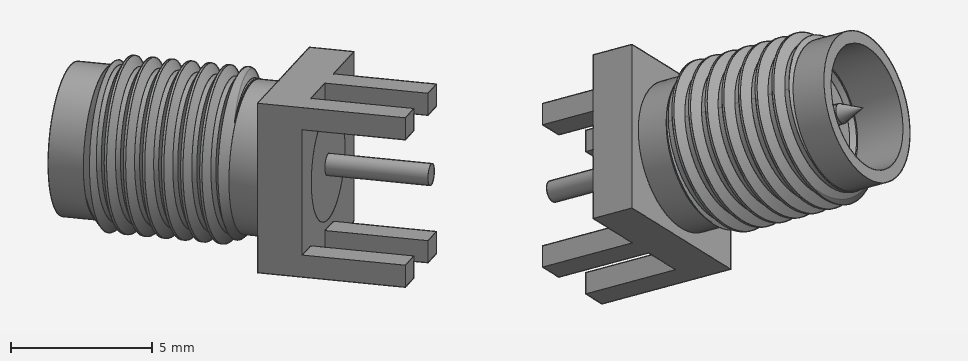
import cadquery as cq
import math

barrel_length = 7.87
flange_thickness = 1.65
leg_length = 3.81
flange_back = barrel_length + flange_thickness
overall_length = flange_back + leg_length

flange_size = 6.35
leg_height = 0.83
leg_width = 1.05
inner_leg_center_y = 0.125
outer_leg_center_y = -(flange_size - leg_width) / 2

barrel_radius = 2.77
socket_radius = 2.31
socket_depth = 1.92
countersink_radius = 2.235
insulator_radius = 2.06
insulator_front = socket_depth + countersink_radius - insulator_radius

thread_major_radius = 3.175
thread_pitch = 25.4 / 36
thread_start = 1.31
thread_end = 6.69
thread_root_radius = 2.80
crest_flat = thread_pitch / 8
flank_slope = math.tan(math.radians(30))
crest_x = 1.90
root_overlap = 0.05
trim_margin = 0.3
trim_length = 4 * thread_pitch

pin_radius = 0.395
pin_neck_radius = 0.37
pin_tip_x = 0.18
pin_cone_length = 0.90
pin_neck_length = 0.25


def cylinder_along_x(start, end, radius):
    return cq.Workplane("YZ", origin=(start, 0, 0)).circle(radius).extrude(end - start)


def revolve_about_x(points):
    outline = cq.Workplane("XY").polyline(points).close()
    return outline.revolve(360, (0, 0, 0), (1, 0, 0))


def make_thread_ridge():
    """Helical V ridge that runs past both ends of the thread."""
    inner_radius = thread_root_radius - root_overlap
    crest_half = crest_flat / 2
    base_half = crest_half + (thread_major_radius - inner_radius) * flank_slope

    turns_before = math.ceil((crest_x - thread_start) / thread_pitch) + 1
    start = crest_x - turns_before * thread_pitch
    turns = math.ceil((thread_end - start) / thread_pitch) + 1
    helix = cq.Wire.makeHelix(thread_pitch, turns * thread_pitch, inner_radius)
    profile = cq.Workplane("XZ").polyline([
        (inner_radius, -base_half),
        (thread_major_radius, -crest_half),
        (thread_major_radius, crest_half),
        (inner_radius, base_half),
    ]).close()
    ridge = profile.sweep(cq.Workplane(obj=helix), isFrenet=True)
    return ridge.rotate((0, 0, 0), (1, 1, 1), 120).translate((start, 0, 0))


def make_end_trim(end, outward):
    """Cutter that removes all beyond one end of the thread and leaves a 45 degree cone."""
    rim_radius = thread_major_radius + trim_margin
    rim_x = end - outward * (rim_radius - barrel_radius)
    far_x = end + outward * trim_length
    return revolve_about_x([
        (end, 0),
        (end, barrel_radius),
        (rim_x, rim_radius),
        (far_x, rim_radius),
        (far_x, 0),
    ])


def make_thread():
    """Root cylinder with its ridge, both made too long and then trimmed at the two ends."""
    root_start = thread_start - trim_length + trim_margin
    root_end = thread_end + trim_length - trim_margin
    thread = cylinder_along_x(root_start, root_end, thread_root_radius).union(make_thread_ridge())
    return thread.cut(make_end_trim(thread_start, -1)).cut(make_end_trim(thread_end, 1))


def make_leg(center_y, side):
    center_z = side * (flange_size - leg_height) / 2
    return cq.Workplane("XY").box(leg_length, leg_width, leg_height).translate(
        (flange_back + leg_length / 2, center_y, center_z)
    )


def make_housing():
    body = cylinder_along_x(0, barrel_length, barrel_radius)
    body = body.union(make_thread())
    flange = cq.Workplane("YZ", origin=(barrel_length, 0, 0))
    body = body.union(flange.rect(flange_size, flange_size).extrude(flange_thickness))
    for center_y in (inner_leg_center_y, outer_leg_center_y):
        for side in (-1, 1):
            body = body.union(make_leg(center_y, side))
    bore = revolve_about_x([
        (0, 0),
        (0, socket_radius),
        (socket_depth, socket_radius),
        (socket_depth, countersink_radius),
        (insulator_front, insulator_radius),
        (flange_back, insulator_radius),
        (flange_back, 0),
    ])
    return body.cut(bore)


def make_insulator():
    """Disc-faced sleeve that fills the housing bore around the pin."""
    disc = cylinder_along_x(insulator_front, flange_back, insulator_radius)
    return disc.cut(cylinder_along_x(insulator_front, flange_back, pin_radius))


def make_pin():
    """Straight pin with a slightly thinner neck and a sharp conical tip."""
    neck_x = pin_tip_x + pin_cone_length
    shoulder_x = neck_x + pin_neck_length
    return revolve_about_x([
        (pin_tip_x, 0),
        (neck_x, pin_neck_radius),
        (shoulder_x, pin_neck_radius),
        (shoulder_x, pin_radius),
        (overall_length, pin_radius),
        (overall_length, 0),
    ])


housing = make_housing()
insulator = make_insulator()
pin = make_pin()

result = cq.Compound.makeCompound([housing.val(), insulator.val(), pin.val()])